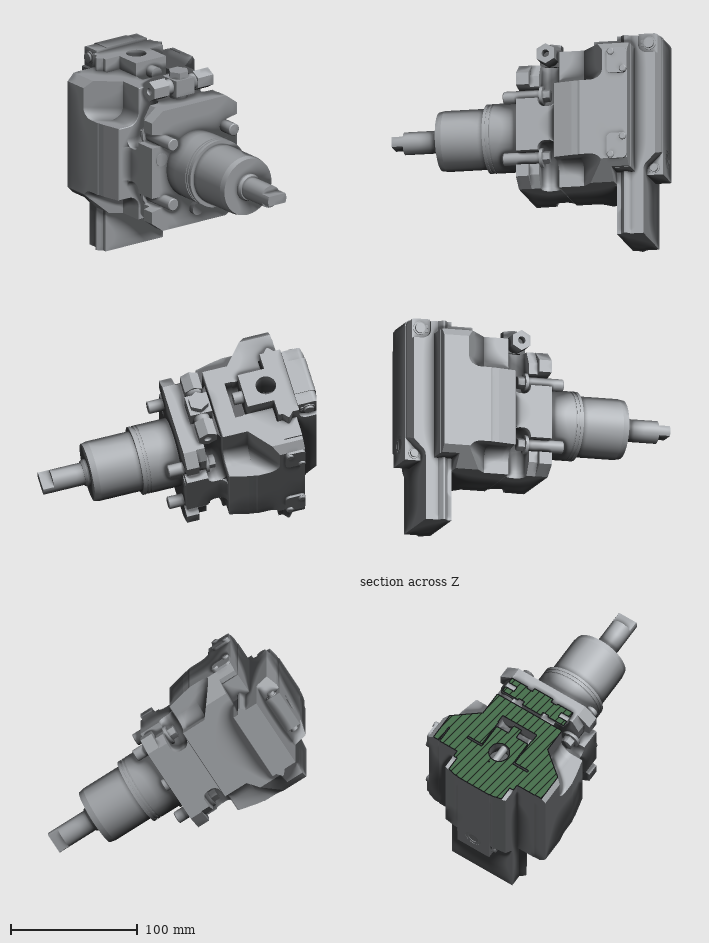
import cadquery as cq
import math


SIDES = (-1, 1)
HEX_TURN = 30
MIRROR_PAIRS = [(side, level) for side in SIDES for level in SIDES]

HOUSING_FRONT = -92.9
HOUSING_BACK = -32.1
HOUSING_HALF_WIDTH = 55.0
HOUSING_TOP = 60.0
HOUSING_BOTTOM = -50.0
HOUSING_BACK_CHAMFER = 0.5
FRONT_LEDGE_BOTTOM = -40.0
TOP_CHAMFER = 6.0
BOTTOM_CHAMFER = 15.5
TAPER_START = -54.2
TAPER_STEP = (-52.8, 54.5)
TAPER_KNEE = (-47.5, 53.7)
BACK_HALF_WIDTH = 50.0
FACE_PAD_HALF_WIDTH = 45.0
FACE_PAD_HEIGHT = 0.4
SEAL_GROOVE_WIDTH = 0.8

RELIEF_FLOOR = 30.0
RELIEF_WALL = 30.6
RELIEF_KNEE = -52.6
RELIEF_START = -72.4
STRAIGHT_RELIEF_RADIUS = 10.0
DIAGONAL_RELIEF_RADIUS = 8.0

SLIDE_FRONT = -99.9
SLIDE_BACK = -78.6
SLIDE_TOP = 70.5
SLIDE_BOTTOM = -90.0
SLIDE_HALF_WIDTH = 28.4
SLIDE_GAP = 1.4
RIB_TIP = 32.4
RIB_CENTER = -85.9
RIB_HALF_BASE = 4.0
RIB_HALF_FLAT = 0.6

ARM_END = -57.0
ARM_HALF_WIDTH = 14.8
ARM_BOTTOM = 45.0
ARM_CLEARANCE = 0.6
ARM_HOLE_DIAMETER = 16.2
ARM_HOLE_X = -75.9
CROSS_PIN_DIAMETER = 6.0
CROSS_PIN_Z = 52.0
ARM_SCREW_DIAMETER = 10.0
ARM_SCREW_LENGTH = 7.8
ARM_SCREW_Z = 61.0
POCKET_END = -46.5
POCKET_STEP = -52.8
POCKET_HALF_WIDTH = 16.0
POCKET_FLOOR_HALF_WIDTH = 8.0

CAP_FRONT = -112.75
CAP_BACK = -95.2
CAP_TOP = 73.0
CAP_BOTTOM = -40.0
CAP_CENTER_HALF_WIDTH = 15.0
CAP_SHOULDER_HALF_WIDTH = 18.0
CAP_SHOULDER_SETBACK = 0.5
CAP_SIDE_FRONT = -109.5
CAP_SIDE_DROP = 0.6
CAP_ROUND = 4.5
CAP_SLOPE_START_Z = -22.2
CAP_SLOPE_FILLET = 8.0
PIN_SEAT_HALF_WIDTH = 25.0
PIN_SEAT_DEPTH = 8.0
PIN_SEAT_RADIUS = 7.5
PIN_SEAT_BACK = -95.4
UPPER_PIN = (-103.9, 64.5)
UPPER_PIN_DIAMETER = 8.0
UPPER_CLIP_DIAMETER = 10.5
LOWER_PIN = (-105.9, -34.7)
LOWER_PIN_DIAMETER = 6.0
LOWER_CLIP_DIAMETER = 8.0
CLIP_THICKNESS = 0.8
CLIP_EAR_DIAMETER = 2.6
CLIP_EAR_OVERHANG = 0.6
CLIP_EAR_ANGLE = 16.0
CAP_SCREW_Z = -24.7
CAP_SCREW_DIAMETER = 14.5
CAP_SCREW_SINK = 0.2
CAP_SOCKET_DIAMETER = 9.0
CAP_SOCKET_DEPTH = 0.6

FLANGE_HALF_WIDTH = 42.0
FLANGE_HALF_HEIGHT = 50.0
FLANGE_FRONT = -17.4
FLANGE_STEP = -10.2
FLANGE_CHAMFER_Y = 10.8
FLANGE_CHAMFER_Z = 8.0
RECESSED_SIDE = 36.6
RECESSED_CHAMFER_Y = 6.0
RECESSED_CHAMFER_Z = 10.0
NECK_FILLET = 6.0
CHANNEL_FLOOR = 13.8
CHANNEL_WALL = 19.5
CHANNEL_RADIUS = 6.0
CHANNEL_BEND_RADIUS = 15.0
NOTCH_LOW = 21.0
NOTCH_HIGH = 32.4
NOTCH_ROOF_DROP = 2.4

BOLT_Y = 30.0
BOLT_Z = 25.0
BOLT_DIAMETER = 10.0
BOLT_TIP = 12.5
BOLT_TIP_CHAMFER = 0.6
BOLT_WASHER_DIAMETER = 15.5
BOLT_WASHER_FRONT = -19.8
BOLT_HEAD_FRONT = -25.4
BOLT_HEAD_FLATS = 9.0
DOWEL_Z = -37.0
DOWEL_DIAMETER = 10.0
DOWEL_LENGTH = 4.7
PLUG_Y = 32.5
PLUG_Z = 9.8
PLUG_DIAMETER = 10.8
PLUG_HEIGHT = 0.6

COLLAR_DIAMETER = 55.0
COLLAR_END = 31.1
COLLAR_GROOVES = ((24.6, 25.8), (27.2, 28.8))
COLLAR_GROOVE_DEPTH = 0.6
SHANK_DIAMETER = 48.2
SHANK_END = 70.0
SHANK_TAPER_LENGTH = 4.8
SHANK_TAPER_DEPTH = 0.9
HUB_DIAMETER = 22.0
HUB_STEP = 72.0
HUB_END = 74.0
HUB_CHAMFER = 1.0
DRIVE_DIAMETER = 18.0
TANG_START = 99.3
TANG_END = 108.3
TANG_THICKNESS = 8.0

FITTING_X = -20.8
FITTING_Z = 60.0
FITTING_BLOCK_SIZE = (17.8, 17.8, 13.4)
FITTING_HEX_FLATS = 14.2
FITTING_HEX_START = 14.0
FITTING_HEX_END = 29.0
FITTING_PIPE_DIAMETER = 12.4
FITTING_STEM_DIAMETER = 14.2
FITTING_PLUG_TOP = 72.0
FITTING_BORE_DIAMETER = 6.0
FITTING_BORE_DEPTH = 8.0

PLATE_THICKNESS = 2.0
PLATE_CORNER_RADIUS = 3.6
PLATE_MARGIN = 3.1
PLATE_SCREW_X = (-89.6, -79.8)
PLATE_SCREW_Z = ((37.3, 51.5), (-17.7, -32.1))
PLATE_SCREW_DIAMETER = 5.6
PLATE_SCREW_HEIGHT = 1.65
PLATE_SCREW_CHAMFER = 0.6


def box(x_range, y_range, z_range):
    """Axis-aligned box between the given limits."""
    size = [abs(high - low) for low, high in (x_range, y_range, z_range)]
    corner = [min(limits) for limits in (x_range, y_range, z_range)]
    return cq.Workplane("XY").box(*size, centered=False).translate(tuple(corner))


def plan_prism(points, z_low, z_high):
    """Prism with an outline in the XY plane."""
    return cq.Workplane("XY").workplane(offset=z_low).polyline(points).close().extrude(z_high - z_low)


def x_prism(points, x_low, x_high):
    """Prism along X with an outline in the YZ plane."""
    return cq.Workplane("YZ").workplane(offset=x_low).polyline(points).close().extrude(x_high - x_low)


def x_cylinder(diameter, x_low, x_high, y, z):
    plane = cq.Workplane("YZ").workplane(offset=x_low)
    return plane.center(y, z).circle(diameter / 2).extrude(x_high - x_low)


def y_cylinder(diameter, y_low, y_high, x, z):
    plane = cq.Workplane("XZ").workplane(offset=-y_low)
    return plane.center(x, z).circle(diameter / 2).extrude(y_low - y_high)


def across_corners(flats):
    return flats / math.cos(math.pi / 6)


def mirrored(shape, side, level=1):
    """Copy of a +Y, +Z shape placed on the chosen side and level."""
    if side < 0:
        shape = shape.mirror("XZ")
    if level < 0:
        shape = shape.mirror("XY")
    return shape


def corner_relief():
    """Rounded relief in the +Y, +Z corner of the housing."""
    straight = box(
        (RELIEF_KNEE, HOUSING_BACK), (RELIEF_WALL, 2 * RELIEF_WALL), (RELIEF_FLOOR, 2 * RELIEF_FLOOR)
    )
    straight = straight.edges("|X and <Y and <Z").fillet(STRAIGHT_RELIEF_RADIUS)
    run = RELIEF_KNEE - RELIEF_START
    rise = HOUSING_HALF_WIDTH - RELIEF_WALL
    outer_wall = HOUSING_HALF_WIDTH + rise
    outline = [(RELIEF_KNEE, RELIEF_WALL), (RELIEF_START - run, outer_wall), (RELIEF_KNEE, outer_wall)]
    diagonal = plan_prism(outline, RELIEF_FLOOR, 2 * RELIEF_FLOOR)
    wall_middle = (RELIEF_START, HOUSING_HALF_WIDTH, RELIEF_FLOOR)
    diagonal = diagonal.edges(cq.NearestToPointSelector(wall_middle)).fillet(DIAGONAL_RELIEF_RADIUS)
    return straight.union(diagonal)


def make_housing():
    half_outline = [
        (HOUSING_FRONT, HOUSING_HALF_WIDTH),
        (TAPER_START, HOUSING_HALF_WIDTH),
        TAPER_STEP,
        TAPER_KNEE,
        (HOUSING_BACK, BACK_HALF_WIDTH),
    ]
    outline = half_outline + [(x, -y) for x, y in reversed(half_outline)]
    housing = plan_prism(outline, HOUSING_BOTTOM, HOUSING_TOP)

    section = []
    for side in SIDES:
        edge = [
            (side * (HOUSING_HALF_WIDTH - BOTTOM_CHAMFER), HOUSING_BOTTOM),
            (side * HOUSING_HALF_WIDTH, HOUSING_BOTTOM + BOTTOM_CHAMFER),
            (side * HOUSING_HALF_WIDTH, HOUSING_TOP - TOP_CHAMFER),
            (side * (HOUSING_HALF_WIDTH - TOP_CHAMFER), HOUSING_TOP),
        ]
        section += edge if side > 0 else edge[::-1]
    housing = housing.intersect(x_prism(section, HOUSING_FRONT, HOUSING_BACK))

    full_width = (-HOUSING_HALF_WIDTH, HOUSING_HALF_WIDTH)
    housing = housing.cut(box((HOUSING_FRONT, SLIDE_BACK), full_width, (HOUSING_BOTTOM, FRONT_LEDGE_BOTTOM)))
    for side, level in MIRROR_PAIRS:
        housing = housing.cut(mirrored(corner_relief(), side, level))
    housing = housing.faces(">X").chamfer(HOUSING_BACK_CHAMFER)

    pad = box(
        (HOUSING_FRONT - FACE_PAD_HEIGHT, HOUSING_FRONT),
        (-FACE_PAD_HALF_WIDTH, FACE_PAD_HALF_WIDTH),
        (FRONT_LEDGE_BOTTOM, HOUSING_TOP),
    )
    seal_groove = box(
        (HOUSING_FRONT, SLIDE_BACK),
        (FACE_PAD_HALF_WIDTH, FACE_PAD_HALF_WIDTH + SEAL_GROOVE_WIDTH),
        (HOUSING_BOTTOM, HOUSING_TOP),
    )
    return housing.union(pad).cut(seal_groove)


def cut_slide_seat(housing):
    """Opening for the slide, and the pocket for its clamp arm."""
    seat = box(
        (HOUSING_FRONT - FACE_PAD_HEIGHT, SLIDE_BACK + SLIDE_GAP),
        (-SLIDE_HALF_WIDTH, SLIDE_HALF_WIDTH),
        (HOUSING_BOTTOM, HOUSING_TOP),
    )
    arm_wall = ARM_HALF_WIDTH + ARM_CLEARANCE
    pocket_floor = ARM_BOTTOM - ARM_CLEARANCE
    arm_channel = box((SLIDE_BACK, ARM_END), (-arm_wall, arm_wall), (pocket_floor, HOUSING_TOP))
    housing = housing.cut(seat).cut(arm_channel)
    for x_range, half_width in (
        ((ARM_END, POCKET_STEP), arm_wall),
        ((POCKET_STEP, POCKET_END), POCKET_HALF_WIDTH),
    ):
        pocket = box(x_range, (-half_width, half_width), (pocket_floor, 2 * HOUSING_TOP))
        pocket = pocket.edges("|X and <Z").fillet(half_width - POCKET_FLOOR_HALF_WIDTH)
        housing = housing.cut(pocket)
    return housing


def make_slide():
    half_width = (-SLIDE_HALF_WIDTH, SLIDE_HALF_WIDTH)
    slide = box((SLIDE_FRONT, SLIDE_BACK), half_width, (SLIDE_BOTTOM, SLIDE_TOP))
    rib_outline = [
        (RIB_CENTER - RIB_HALF_BASE, SLIDE_HALF_WIDTH),
        (RIB_CENTER - RIB_HALF_FLAT, RIB_TIP),
        (RIB_CENTER + RIB_HALF_FLAT, RIB_TIP),
        (RIB_CENTER + RIB_HALF_BASE, SLIDE_HALF_WIDTH),
    ]
    rib = plan_prism(rib_outline, SLIDE_BOTTOM, SLIDE_TOP)
    for side in SIDES:
        slide = slide.union(mirrored(rib, side))

    arm = box((SLIDE_BACK, ARM_END), (-ARM_HALF_WIDTH, ARM_HALF_WIDTH), (ARM_BOTTOM, SLIDE_TOP))
    screw = x_cylinder(ARM_SCREW_DIAMETER, ARM_END, ARM_END + ARM_SCREW_LENGTH, 0, ARM_SCREW_Z)
    hole = cq.Workplane("XY").workplane(offset=ARM_BOTTOM).center(ARM_HOLE_X, 0)
    hole = hole.circle(ARM_HOLE_DIAMETER / 2).extrude(SLIDE_TOP - ARM_BOTTOM)
    hole_radius = ARM_HOLE_DIAMETER / 2
    cross_pin = x_cylinder(
        CROSS_PIN_DIAMETER, ARM_HOLE_X - hole_radius, ARM_HOLE_X + hole_radius, 0, CROSS_PIN_Z
    )
    return slide.union(arm).union(screw).cut(hole).union(cross_pin)


def cap_side_cutter():
    """Space below the sloping lower end of the cap sides, blended into the slide face."""
    slope_drop = SLIDE_FRONT - CAP_FRONT
    corner_z = CAP_SLOPE_START_Z - slope_drop
    tangent = CAP_SLOPE_FILLET * math.tan(math.pi / 8)
    leg = tangent * math.sqrt(0.5)
    outline = (
        cq.Workplane("XZ")
        .workplane(offset=-SLIDE_HALF_WIDTH)
        .moveTo(CAP_FRONT, CAP_SLOPE_START_Z)
        .lineTo(SLIDE_FRONT - leg, corner_z + leg)
        .radiusArc((SLIDE_FRONT, corner_z - tangent), CAP_SLOPE_FILLET)
        .lineTo(SLIDE_FRONT, CAP_BOTTOM)
        .lineTo(CAP_FRONT, CAP_BOTTOM)
        .close()
    )
    return outline.extrude(SLIDE_HALF_WIDTH - CAP_CENTER_HALF_WIDTH)


def pin_seat():
    """Recess at the top of the +Y cap side that leaves the upper pin end exposed."""
    seat_bottom = UPPER_PIN[1] - PIN_SEAT_DEPTH
    y_range = (PIN_SEAT_HALF_WIDTH, SLIDE_HALF_WIDTH)
    seat = box((CAP_FRONT, PIN_SEAT_BACK), y_range, (seat_bottom, CAP_TOP))
    seat = seat.edges("|Y and >X and <Z").fillet(PIN_SEAT_RADIUS)
    return seat.union(box((CAP_FRONT, CAP_BACK), y_range, (SLIDE_TOP, CAP_TOP)))


def make_cap():
    center = box(
        (CAP_FRONT, CAP_BACK), (-CAP_CENTER_HALF_WIDTH, CAP_CENTER_HALF_WIDTH), (CAP_BOTTOM, CAP_TOP)
    )
    center = center.edges("<X and >Z").fillet(CAP_ROUND)
    shoulder_front = CAP_FRONT + CAP_SHOULDER_SETBACK
    half_outline = [
        (CAP_BACK, SLIDE_HALF_WIDTH),
        (CAP_SIDE_FRONT, SLIDE_HALF_WIDTH),
        (shoulder_front, CAP_SHOULDER_HALF_WIDTH),
    ]
    outline = half_outline + [(x, -y) for x, y in reversed(half_outline)]
    sides = plan_prism(outline, CAP_BOTTOM, CAP_TOP - CAP_SIDE_DROP)
    sides = sides.edges("<X and >Z").fillet(CAP_ROUND)
    for side in SIDES:
        sides = sides.cut(mirrored(cap_side_cutter(), side))
    cap = center.union(sides)
    cap = cap.cut(x_cylinder(CAP_SCREW_DIAMETER, CAP_FRONT, CAP_FRONT + CAP_SCREW_SINK, 0, CAP_SCREW_Z))
    cap = cap.cut(x_cylinder(CAP_SOCKET_DIAMETER, CAP_FRONT, CAP_FRONT + CAP_SOCKET_DEPTH, 0, CAP_SCREW_Z))
    return cap


def make_cap_pins():
    """Ends of the two cap pins, each with an eared retaining clip behind the tip."""
    pins = cq.Workplane("XY")
    upper_end = SLIDE_HALF_WIDTH - CLIP_THICKNESS
    for (x, z), diameter, clip, start, end in (
        (UPPER_PIN, UPPER_PIN_DIAMETER, UPPER_CLIP_DIAMETER, PIN_SEAT_HALF_WIDTH, upper_end),
        (LOWER_PIN, LOWER_PIN_DIAMETER, LOWER_CLIP_DIAMETER, CAP_CENTER_HALF_WIDTH, CAP_SHOULDER_HALF_WIDTH),
    ):
        pin = y_cylinder(diameter, start, end, x, z)
        pin = pin.union(y_cylinder(clip, start, start + CLIP_THICKNESS, x, z))
        for ear_side in SIDES:
            angle = math.radians(ear_side * CLIP_EAR_ANGLE)
            ear_offset = clip / 2 + CLIP_EAR_OVERHANG
            ear_x = x + ear_offset * math.cos(angle)
            ear_z = z + ear_offset * math.sin(angle)
            pin = pin.union(y_cylinder(CLIP_EAR_DIAMETER, start, start + CLIP_THICKNESS, ear_x, ear_z))
        for side in SIDES:
            pins = pins.add(mirrored(pin, side))
    return pins


def flange_section(half_width, chamfer_y, chamfer_z):
    """Flange outline in the YZ plane with its four corners cut off."""
    chamfered = half_width - chamfer_y
    shoulder = FLANGE_HALF_HEIGHT - chamfer_z
    quarter = [(half_width, shoulder), (chamfered, FLANGE_HALF_HEIGHT)]
    upper = quarter + [(-y, z) for y, z in reversed(quarter)]
    return upper + [(-y, -z) for y, z in upper]


def make_flange():
    back = x_prism(flange_section(FLANGE_HALF_WIDTH, FLANGE_CHAMFER_Y, FLANGE_CHAMFER_Z), FLANGE_STEP, 0)
    front = x_prism(
        flange_section(RECESSED_SIDE, RECESSED_CHAMFER_Y, RECESSED_CHAMFER_Z), FLANGE_FRONT, FLANGE_STEP
    )
    width = (-FLANGE_HALF_WIDTH, FLANGE_HALF_WIDTH)
    middle = box((FLANGE_FRONT, FLANGE_STEP), width, (-NOTCH_LOW, NOTCH_LOW))
    neck = box((HOUSING_BACK, FLANGE_FRONT), width, (-FLANGE_HALF_HEIGHT, FLANGE_HALF_HEIGHT))
    flange = back.union(front).union(middle).union(neck)

    root = box(
        (HOUSING_BACK, HOUSING_BACK + NECK_FILLET),
        (FLANGE_HALF_WIDTH, FLANGE_HALF_WIDTH + NECK_FILLET),
        (-CHANNEL_FLOOR, CHANNEL_FLOOR),
    )
    hollow = cq.Workplane("XY").workplane(offset=-CHANNEL_FLOOR)
    hollow = hollow.center(HOUSING_BACK + NECK_FILLET, FLANGE_HALF_WIDTH + NECK_FILLET)
    root = root.cut(hollow.circle(NECK_FILLET).extrude(2 * CHANNEL_FLOOR))

    channel = box(
        (HOUSING_BACK, FLANGE_FRONT),
        (CHANNEL_WALL, 2 * FLANGE_HALF_WIDTH),
        (CHANNEL_FLOOR, 2 * FLANGE_HALF_HEIGHT),
    )
    channel = channel.edges("|X and <Y and <Z").fillet(CHANNEL_BEND_RADIUS)
    channel = channel.edges("(|Z and <Y) or (|Y and <Z)").fillet(CHANNEL_RADIUS)
    notch_outline = [
        (BOLT_Y, NOTCH_LOW),
        (FLANGE_HALF_WIDTH, NOTCH_LOW),
        (FLANGE_HALF_WIDTH, NOTCH_HIGH),
        (BOLT_Y, NOTCH_HIGH - NOTCH_ROOF_DROP),
    ]
    notch = x_prism(notch_outline, FLANGE_FRONT, 0)
    for side in SIDES:
        flange = flange.union(mirrored(root, side))
    for side, level in MIRROR_PAIRS:
        flange = flange.cut(mirrored(channel, side, level)).cut(mirrored(notch, side, level))
    return flange


def mounting_bolt():
    bolt = x_cylinder(BOLT_DIAMETER, FLANGE_FRONT, BOLT_TIP, BOLT_Y, BOLT_Z)
    bolt = bolt.faces(">X").chamfer(BOLT_TIP_CHAMFER)
    washer = x_cylinder(BOLT_WASHER_DIAMETER, BOLT_WASHER_FRONT, FLANGE_FRONT, BOLT_Y, BOLT_Z)
    head = cq.Workplane("YZ").workplane(offset=BOLT_HEAD_FRONT).center(BOLT_Y, BOLT_Z)
    head = head.polygon(6, across_corners(BOLT_HEAD_FLATS))
    head = head.extrude(BOLT_WASHER_FRONT - BOLT_HEAD_FRONT)
    head = head.rotate((0, BOLT_Y, BOLT_Z), (1, BOLT_Y, BOLT_Z), HEX_TURN)
    return bolt.union(washer).union(head)


def make_shank():
    collar_radius = COLLAR_DIAMETER / 2
    shank_radius = SHANK_DIAMETER / 2
    hub_radius = HUB_DIAMETER / 2
    drive_radius = DRIVE_DIAMETER / 2
    profile = [(0, 0), (0, collar_radius)]
    for start, end in COLLAR_GROOVES:
        groove_radius = collar_radius - COLLAR_GROOVE_DEPTH
        profile += [(start, collar_radius), (start, groove_radius)]
        profile += [(end, groove_radius), (end, collar_radius)]
    profile += [
        (COLLAR_END, collar_radius),
        (COLLAR_END, shank_radius),
        (SHANK_END - SHANK_TAPER_LENGTH, shank_radius),
        (SHANK_END, shank_radius - SHANK_TAPER_DEPTH),
        (SHANK_END, hub_radius),
        (HUB_STEP, hub_radius),
        (HUB_END, hub_radius - HUB_CHAMFER),
        (HUB_END, drive_radius),
        (TANG_END, drive_radius),
        (TANG_END, 0),
    ]
    shank = cq.Workplane("XY").polyline(profile).close().revolve(360, (0, 0), (1, 0))
    for level in SIDES:
        flat = box(
            (TANG_START, TANG_END),
            (-drive_radius, drive_radius),
            (TANG_THICKNESS / 2, drive_radius),
        )
        shank = shank.cut(mirrored(flat, 1, level))
    return shank


def make_fitting():
    """Coolant T-fitting standing on the neck."""
    center = (FITTING_X, 0, FITTING_Z)
    fitting = cq.Workplane("XY").box(*FITTING_BLOCK_SIZE).translate(center)
    stem = cq.Workplane("XY").workplane(offset=CHANNEL_FLOOR).center(FITTING_X, 0)
    stem = stem.circle(FITTING_STEM_DIAMETER / 2).extrude(FITTING_Z - CHANNEL_FLOOR)
    corners = across_corners(FITTING_HEX_FLATS)
    plug = cq.Workplane("XY").polygon(6, corners).extrude(FITTING_PLUG_TOP - FITTING_Z)
    plug = plug.rotate((0, 0, 0), (0, 0, 1), HEX_TURN).translate(center)
    pipe = y_cylinder(FITTING_PIPE_DIAMETER, -FITTING_HEX_START, FITTING_HEX_START, FITTING_X, FITTING_Z)
    fitting = fitting.union(stem).union(plug).union(pipe)

    nut = cq.Workplane("XZ").polygon(6, corners).extrude(FITTING_HEX_START - FITTING_HEX_END)
    nut = nut.rotate((0, 0, 0), (0, 1, 0), HEX_TURN).translate((FITTING_X, FITTING_HEX_START, FITTING_Z))
    bore_start = FITTING_HEX_END - FITTING_BORE_DEPTH
    nut = nut.cut(y_cylinder(FITTING_BORE_DIAMETER, bore_start, FITTING_HEX_END, FITTING_X, FITTING_Z))
    for side in SIDES:
        fitting = fitting.union(mirrored(nut, side))
    return fitting


def make_cover_plates():
    """Two round-cornered plates on the +Y side, each held by two screws at opposite corners."""
    outer_face = HOUSING_HALF_WIDTH + PLATE_THICKNESS
    head_top = outer_face + PLATE_SCREW_HEIGHT
    front_x, back_x = PLATE_SCREW_X
    plates = cq.Workplane("XY")
    for front_z, back_z in PLATE_SCREW_Z:
        plate = box(
            (front_x - PLATE_MARGIN, back_x + PLATE_MARGIN),
            (HOUSING_HALF_WIDTH, outer_face),
            (min(front_z, back_z) - PLATE_MARGIN, max(front_z, back_z) + PLATE_MARGIN),
        )
        plate = plate.edges("|Y").fillet(PLATE_CORNER_RADIUS)
        for x, z in ((front_x, front_z), (back_x, back_z)):
            head = y_cylinder(PLATE_SCREW_DIAMETER, outer_face, head_top, x, z)
            plate = plate.union(head.faces(">Y").chamfer(PLATE_SCREW_CHAMFER))
        plates = plates.add(plate)
    return plates


def join(base, parts):
    """Base united with each separate solid held in parts."""
    for part in parts.vals():
        base = base.union(cq.Workplane(part))
    return base


sliding_head = make_slide().union(make_cap())
for seat_side in SIDES:
    sliding_head = sliding_head.cut(mirrored(pin_seat(), seat_side))

result = cut_slide_seat(make_housing()).union(sliding_head)
result = result.union(make_flange()).union(make_shank()).union(make_fitting())
result = join(result, make_cap_pins())
result = join(result, make_cover_plates())
for bolt_side, bolt_level in MIRROR_PAIRS:
    result = result.union(mirrored(mounting_bolt(), bolt_side, bolt_level))
result = result.union(x_cylinder(DOWEL_DIAMETER, 0, DOWEL_LENGTH, 0, DOWEL_Z))
for plug_side in SIDES:
    result = result.union(x_cylinder(PLUG_DIAMETER, 0, PLUG_HEIGHT, plug_side * PLUG_Y, PLUG_Z))